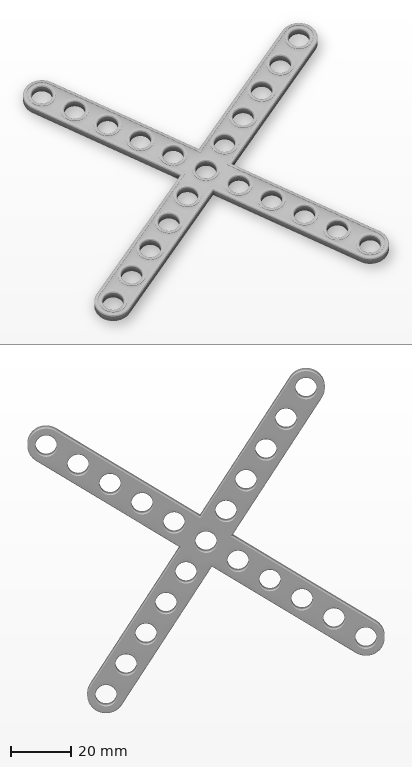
import cadquery as cq

span = 137.5
thickness = 3.2
holes_per_beam = 11
hole_diameter = 7.0
ring_diameter = 9.2
rim_width = 1.1
recess_depth = 0.2
edge_chamfer = 0.3

pitch = span / holes_per_beam
arm_width = pitch


def cross(length, width, height):
    """Two perpendicular round-ended beams crossing at the origin, standing on Z = 0."""
    beam_x = cq.Workplane("XY").slot2D(length, width).extrude(height)
    beam_y = cq.Workplane("XY").slot2D(length, width, 90).extrude(height)
    return beam_x.union(beam_y)


def hole_centres():
    """Evenly spaced points along both beams, with the shared centre listed once."""
    holes_per_arm = holes_per_beam // 2
    offsets = [step * pitch for step in range(-holes_per_arm, holes_per_arm + 1)]
    along_x = [(offset, 0) for offset in offsets]
    along_y = [(0, offset) for offset in offsets if offset != 0]
    return along_x + along_y


def discs(diameter, height):
    """One disc at every hole position, standing on Z = 0."""
    return cq.Workplane("XY").pushPoints(hole_centres()).circle(diameter / 2).extrude(height)


def recess():
    """Shallow pocket in the top face that leaves the border and the hole rings standing."""
    pocket = cross(span - 2 * rim_width, arm_width - 2 * rim_width, recess_depth)
    rings = discs(ring_diameter, recess_depth)
    return pocket.cut(rings).translate((0, 0, thickness - recess_depth))


plate = cross(span, arm_width, thickness).cut(discs(hole_diameter, thickness))
chamfered = plate.faces("|Z").edges().chamfer(edge_chamfer)
result = chamfered.cut(recess())